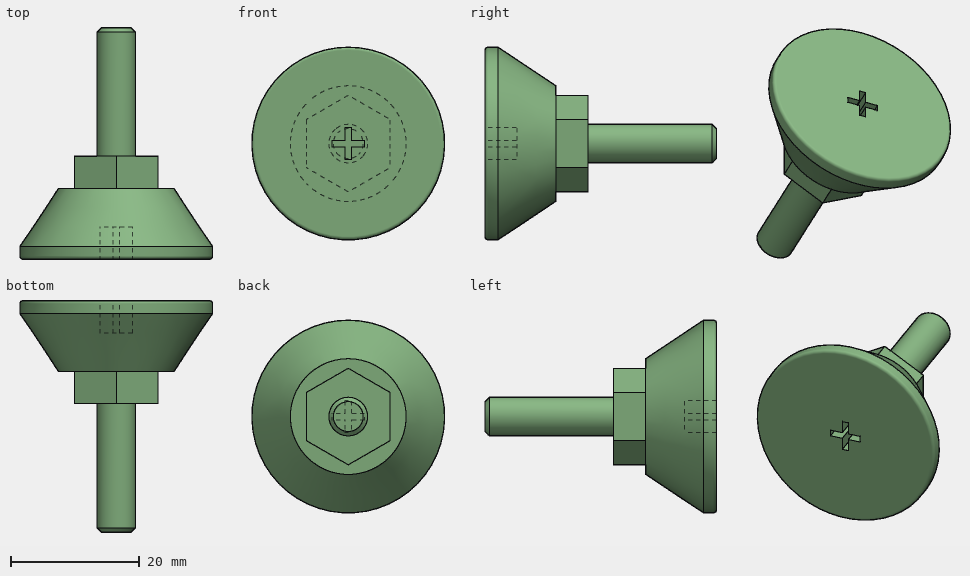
import cadquery as cq
import math

total_length = 36.0
base_diameter = 30.0
rim_height = 2.0
rim_fillet = 0.5
cone_top_diameter = 18.0
body_height = 11.0
hex_across_flats = 13.0
hex_height = 5.0
stud_diameter = 6.0
stud_chamfer = 0.7
cross_length = 5.0
cross_width = 1.0
cross_depth = 5.0

hex_across_corners = hex_across_flats / math.cos(math.pi / 6)
hex_top = body_height + hex_height
stud_length = total_length - hex_top


def section_at(y):
    """Sketch plane at height y along the axis, facing +Y, with local x along Z."""
    return cq.Workplane(cq.Plane(origin=(0, y, 0), xDir=(0, 0, 1), normal=(0, 1, 0)))


def make_body():
    """Cylindrical rim with a rounded sole edge, tapering to the nut seat."""
    rim = section_at(0).circle(base_diameter / 2).extrude(rim_height)
    rim = rim.faces("<Y").edges().fillet(rim_fillet)
    cone = (
        section_at(rim_height)
        .circle(base_diameter / 2)
        .workplane(offset=body_height - rim_height)
        .circle(cone_top_diameter / 2)
        .loft(ruled=True)
    )
    return rim.union(cone)


def make_hex():
    """Hexagon with two corners on the Z axis."""
    return section_at(body_height).polygon(6, hex_across_corners).extrude(hex_height)


def make_stud():
    stud = section_at(hex_top).circle(stud_diameter / 2).extrude(stud_length)
    return stud.faces(">Y").chamfer(stud_chamfer)


def make_cross_recess():
    """Cross-shaped blind recess in the sole."""
    upright = section_at(0).rect(cross_length, cross_width).extrude(cross_depth)
    crossbar = section_at(0).rect(cross_width, cross_length).extrude(cross_depth)
    return upright.union(crossbar)


result = make_body().union(make_hex()).union(make_stud()).cut(make_cross_recess())